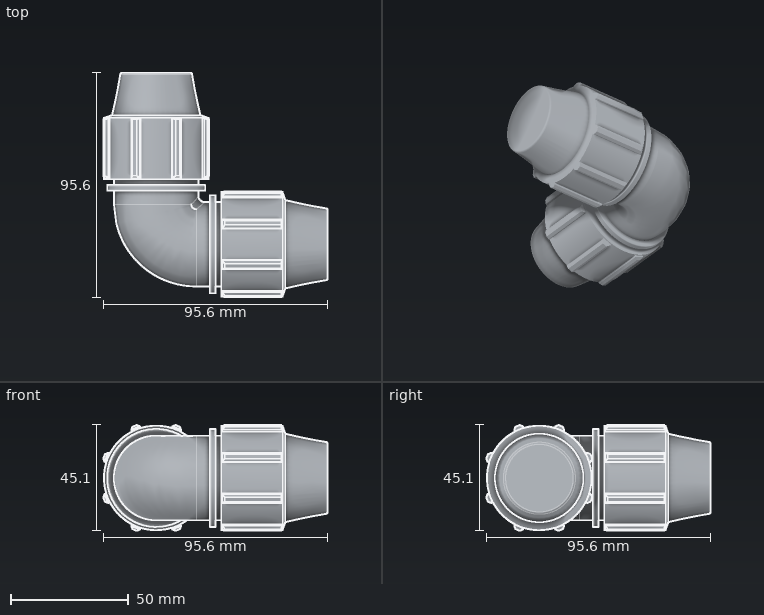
import cadquery as cq
import math


PIPE_RADIUS = 36.0 / 2
BEND_RADIUS = 17.0
CROTCH_FILLET = 2.5
SEAM_MARGIN = 1.2
COLLAR_RADIUS = 41.8 / 2
COLLAR_START = 22.75
COLLAR_END = 25.3
COLLAR_ROUND = 0.4

NUT_RADIUS = 22.3
NUT_START = 27.6
NUT_SHOULDER = 53.7
NOSE_START = 55.0
NOSE_BASE_RADIUS = 18.8
NOSE_MID_RADIUS = 16.8
NOSE_TIP_RADIUS = 15.2
NOSE_ROUND = 1.0

RIB_COUNT = 8
RIB_TIP_RADIUS = 24.0
RIB_WIDTH = 4.1
RIB_CHAMFER = 1.05
RIB_TIP_WIDTH = RIB_WIDTH - 2 * RIB_CHAMFER
RIB_ROOT_RADIUS = 21.0
RIB_SETBACK = 0.5

OVERALL_LENGTH = 95.6
RIB_PITCH = 360 / RIB_COUNT
HALF_PITCH = math.radians(RIB_PITCH / 2)
RIB_REACH = RIB_TIP_RADIUS * math.cos(HALF_PITCH) + RIB_TIP_WIDTH / 2 * math.sin(HALF_PITCH)
BRANCH_LENGTH = OVERALL_LENGTH - RIB_REACH


def x_cylinder(radius, start, end):
    """Solid cylinder on the X axis."""
    return cq.Workplane("YZ", origin=(start, 0, 0)).circle(radius).extrude(end - start)


def mirror_branch(branch):
    """Turn the X branch into the matching Y branch by swapping X and Y."""
    return branch.rotate((0, 0, 0), (1, 1, 0), 180)


def make_bend():
    """Quarter bend; the pipe circle is cut off where it would cross the bend axis."""
    half_chord = math.sqrt(PIPE_RADIUS**2 - BEND_RADIUS**2)
    return (
        cq.Workplane("YZ", origin=(BEND_RADIUS, 0, 0))
        .moveTo(BEND_RADIUS, -half_chord)
        .threePointArc((-PIPE_RADIUS, 0), (BEND_RADIUS, half_chord))
        .close()
        .revolve(90, (BEND_RADIUS, 0, 0), (BEND_RADIUS, -1, 0))
    )


def corner_box(inner, height):
    """Box around the inside corner, from the given X and Y out to the collars."""
    side = COLLAR_START - inner
    return cq.Workplane("XY", origin=(inner, inner, 0)).box(side, side, height, centered=(False, False, True))


def make_elbow():
    """Bend with both pipe stubs, blended at the inside corner."""
    stub = x_cylinder(PIPE_RADIUS, BEND_RADIUS, COLLAR_START)
    plain_elbow = make_bend().union(stub).union(mirror_branch(stub))

    axis_gap = PIPE_RADIUS + CROTCH_FILLET
    contact_ratio = PIPE_RADIUS / axis_gap
    inner = contact_ratio * BEND_RADIUS
    height = 2 * contact_ratio * math.sqrt(axis_gap**2 - BEND_RADIUS**2)
    blend_zone = corner_box(inner, height)

    pipe = x_cylinder(PIPE_RADIUS, 0, COLLAR_START)
    corner = pipe.union(mirror_branch(pipe)).intersect(corner_box(inner / 2, SEAM_MARGIN * height))
    seam = corner.edges(cq.selectors.TypeSelector("ELLIPSE"))
    blend = seam.fillet(CROTCH_FILLET).intersect(blend_zone)
    return plain_elbow.cut(blend_zone).union(blend)


def make_nut():
    """Nut barrel with a sloped shoulder and a slightly hollow, tapering nose."""
    nose_middle = (NOSE_START + BRANCH_LENGTH) / 2
    profile = (
        cq.Workplane("XY")
        .moveTo(NUT_START, 0)
        .lineTo(NUT_START, NUT_RADIUS)
        .lineTo(NUT_SHOULDER, NUT_RADIUS)
        .lineTo(NOSE_START, NOSE_BASE_RADIUS)
        .threePointArc((nose_middle, NOSE_MID_RADIUS), (BRANCH_LENGTH, NOSE_TIP_RADIUS))
        .lineTo(BRANCH_LENGTH, 0)
        .close()
    )
    nut = profile.revolve(360, (0, 0, 0), (1, 0, 0))
    return nut.faces(">X").edges().fillet(NOSE_ROUND)


def make_ribs():
    """Bar-shaped grip ribs around the nut, chamfered and cut off in line with the shoulder."""
    start = NUT_START + RIB_SETBACK
    length = NUT_SHOULDER - start
    height = RIB_TIP_RADIUS - RIB_ROOT_RADIUS
    bar = cq.Workplane("XY", origin=(start, 0, RIB_ROOT_RADIUS)).box(
        length, RIB_WIDTH, height, centered=(False, True, False)
    )
    bar = bar.faces(">Z").edges("<X or <Y or >Y").chamfer(RIB_CHAMFER)

    shoulder_slope = (NOSE_START - NUT_SHOULDER) / (NUT_RADIUS - NOSE_BASE_RADIUS)
    tip_cut = shoulder_slope * (RIB_TIP_RADIUS - NUT_RADIUS)
    shoulder_wedge = (
        cq.Workplane("XZ")
        .moveTo(NUT_SHOULDER, NUT_RADIUS)
        .lineTo(NUT_SHOULDER, RIB_TIP_RADIUS)
        .lineTo(NUT_SHOULDER - tip_cut, RIB_TIP_RADIUS)
        .close()
        .extrude(RIB_WIDTH, both=True)
    )
    rib = bar.cut(shoulder_wedge)

    ribs = cq.Workplane("XY")
    for index in range(RIB_COUNT):
        ribs = ribs.add(rib.rotate((0, 0, 0), (1, 0, 0), (index + 0.5) * RIB_PITCH))
    return ribs.combine()


def make_branch():
    """One branch along X beyond the elbow: collar, neck, ribbed nut and nose."""
    neck = x_cylinder(PIPE_RADIUS, COLLAR_START, NUT_START)
    collar = x_cylinder(COLLAR_RADIUS, COLLAR_START, COLLAR_END).edges("%CIRCLE").fillet(COLLAR_ROUND)
    return neck.union(collar).union(make_nut()).union(make_ribs())


branch = make_branch()
result = make_elbow().union(branch).union(mirror_branch(branch))